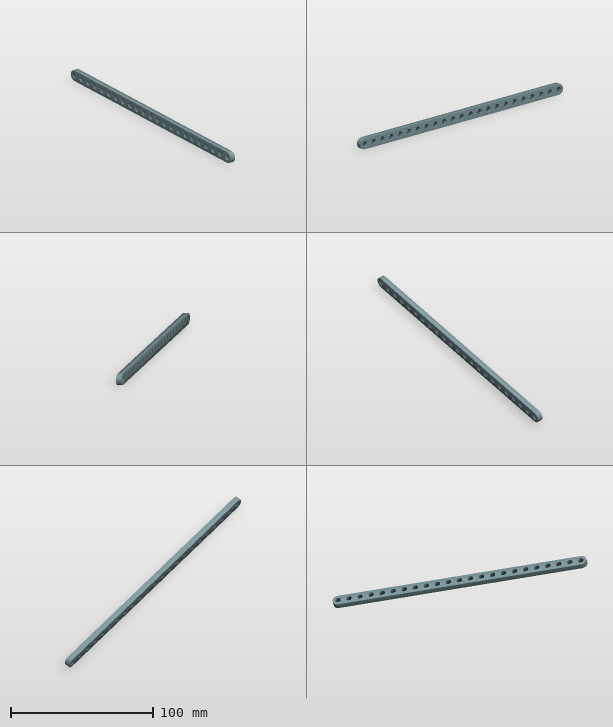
import cadquery as cq

hole_count = 23
pitch = 8.0
bar_width = 8.0
thickness = 4.0
hole_diameter = 4.0

hole_span = (hole_count - 1) * pitch
bar_length = hole_span + bar_width


def round_ended_bar():
    """Flat bar along X with full-radius ends, its thickness centred on Y = 0."""
    return cq.Workplane("XZ").slot2D(bar_length, bar_width).extrude(thickness / 2, both=True)


def drill_hole_row(bar):
    """Evenly spaced through holes along Y; the end holes share the end-arc centres."""
    centres = [(i * pitch - hole_span / 2, 0) for i in range(hole_count)]
    drills = (
        cq.Workplane("XZ")
        .pushPoints(centres)
        .circle(hole_diameter / 2)
        .extrude(thickness, both=True)
    )
    return bar.cut(drills)


result = drill_hole_row(round_ended_bar())